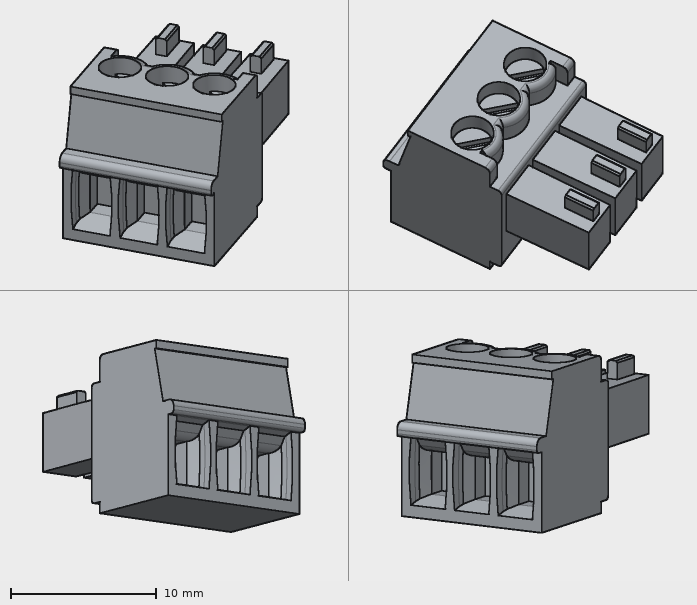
import cadquery as cq
import math


width = 11.2
height = 11.1
step_y = 7.95
collar_y = 8.89
collar_bottom = 0.8
collar_top = 9.21
collar_fillet = 0.3
ear_fillet = 0.4

brow_y = 1.37
brow_bottom = 10.51
slope_top_y = 1.56
slope_bottom_y = 0.6
lip_reach = 0.63
lip_bottom = 5.67
lip_top = 6.68
lip_top_fillet = 0.5
lip_bottom_fillet = 0.24

pitch = 3.5
pole_xs = [-pitch, 0, pitch]

plug_end_y = 16.1 - lip_reach
plug_bottom = 4.19
plug_top = 8.3
plug_base_width = 2.96
plug_end_width = 2.82

key_width = 0.8
key_end_gap = 0.25
key_length = 2.27
key_top = 9.61
key_chamfer = 0.13

screw_y = 5.26
well_radius = 1.47
well_depth = 1.24
screw_gap = 0.05
slot_width = 0.53
slot_depth = 0.48
slot_angle = -45

recess_half_width = 4.67
recess_y = 6.6
web_fillet = 0.5
scallop_radius = 2.11
scallop_fillet = 0.5
scallop_half_width = 4.43
scallop_end_slope = 0.28

entry_bottom = 0.85
throat_y = 1.9
throat_end_y = 3.22
throat_bottom = 1.35
throat_top = 4.41
throat_width = 1.7
throat_bulge = 0.02
throat_end_fillet = 0.25
roof_break_y = 0.71
roof_break_z = 5.44
roof_arc_y = 1.06
roof_arc_z = 4.88
funnel_sections = [
    (0, 1.37, 1.51),
    (0.6, 1.35, 1.43),
    (roof_arc_y, 1.27, 1.37),
    (throat_y, throat_width / 2, throat_width / 2 + throat_bulge),
]


def box(x0, x1, y0, y1, z0, z1):
    return cq.Workplane("XY").box(x1 - x0, y1 - y0, z1 - z0, centered=False).translate((x0, y0, z0))


def make_housing():
    profile = [
        (0, 0),
        (step_y, 0),
        (step_y, collar_bottom),
        (collar_y, collar_bottom),
        (collar_y, collar_top),
        (step_y, collar_top),
        (step_y, height),
        (brow_y, height),
        (brow_y, brow_bottom),
        (slope_top_y, brow_bottom),
        (slope_bottom_y, lip_top),
        (-lip_reach, lip_top),
        (-lip_reach, lip_bottom),
        (0, lip_bottom),
    ]
    housing = cq.Workplane("YZ").polyline(profile).close().extrude(width / 2, both=True)

    def round_edge(solid, y, z, radius):
        return solid.edges(cq.NearestToPointSelector((0, y, z))).fillet(radius)

    housing = round_edge(housing, collar_y, collar_bottom, collar_fillet)
    housing = round_edge(housing, collar_y, collar_top, collar_fillet)
    housing = round_edge(housing, step_y, height, ear_fillet)
    housing = round_edge(housing, -lip_reach, lip_top, lip_top_fillet)
    return round_edge(housing, -lip_reach, lip_bottom, lip_bottom_fillet)


def make_recess():
    """Space between the two ears, with the top of its wall rounded between the poles."""
    recess = box(-recess_half_width, recess_half_width, recess_y, step_y, collar_top, height)
    arc_drop = web_fillet * (1 - math.sqrt(0.5))
    rounding = (
        cq.Workplane("YZ")
        .moveTo(recess_y - web_fillet, height)
        .lineTo(recess_y, height)
        .lineTo(recess_y, height - web_fillet)
        .threePointArc((recess_y - arc_drop, height - arc_drop), (recess_y - web_fillet, height))
        .close()
        .extrude(pitch, both=True)
    )
    return recess.union(rounding)


def make_scallops():
    """Round-edged walls around the rear of the screw wells."""
    scallops = cq.Workplane("XY")
    for x in pole_xs:
        plane = cq.Workplane("XY", origin=(x, screw_y, collar_top))
        disc = plane.circle(scallop_radius).extrude(height - collar_top)
        scallops = scallops.union(disc.faces(">Z").edges().fillet(scallop_fillet))

    front_y = recess_y - web_fillet
    front_half = scallop_half_width - web_fillet * scallop_end_slope
    rear_half = scallop_half_width + (step_y - recess_y) * scallop_end_slope
    limits = (
        cq.Workplane("XY", origin=(0, 0, collar_top))
        .polyline([(-front_half, front_y), (front_half, front_y), (rear_half, step_y), (-rear_half, step_y)])
        .close()
        .extrude(height - collar_top)
    )
    return scallops.intersect(limits)


def make_screw_well(x):
    """Well above the screw, the gap around the screw head and its slot."""
    floor = height - well_depth
    head_radius = well_radius - screw_gap
    plane = cq.Workplane("XY", origin=(x, screw_y, floor))
    well = plane.circle(well_radius).extrude(well_depth)
    gap = plane.circle(well_radius).circle(head_radius).extrude(-slot_depth)
    head = plane.circle(head_radius).extrude(-slot_depth)
    slot = (
        plane.transformed(rotate=(0, 0, slot_angle))
        .rect(2 * well_radius, slot_width)
        .extrude(-slot_depth)
        .intersect(head)
    )
    return well.union(gap).union(slot)


def make_plug(x):
    base = plug_base_width / 2
    end = plug_end_width / 2
    plug = (
        cq.Workplane("XY", origin=(x, 0, plug_bottom))
        .polyline([(-base, step_y), (base, step_y), (end, plug_end_y), (-end, plug_end_y)])
        .close()
        .extrude(plug_top - plug_bottom)
    )
    key_y = plug_end_y - key_end_gap
    key = box(x - key_width / 2, x + key_width / 2, key_y - key_length, key_y, plug_top, key_top)
    return plug.union(key.faces(">Z").edges("|Y").chamfer(key_chamfer))


def funnel_outline(x, y, corner, middle):
    """Full-height outline of the funnel, with bulging sides."""
    mid_z = (entry_bottom + lip_bottom) / 2
    return (
        cq.Workplane("XZ", origin=(x, y, 0))
        .moveTo(-corner, entry_bottom)
        .lineTo(corner, entry_bottom)
        .threePointArc((middle, mid_z), (corner, lip_bottom))
        .lineTo(-corner, lip_bottom)
        .threePointArc((-middle, mid_z), (-corner, entry_bottom))
        .close()
    )


def make_wire_entry(x):
    """Funnel shaped by its bulging sides and by its sloping floor and roof, ending in a throat."""
    wires = [funnel_outline(x, *section).val() for section in funnel_sections]
    funnel = cq.Workplane(cq.Solid.makeLoft(wires, True))
    throat = box(
        x - throat_width / 2, x + throat_width / 2, throat_y, throat_end_y, throat_bottom, throat_top
    )

    side_profile = (
        cq.Workplane("YZ", origin=(x, 0, 0))
        .moveTo(0, lip_bottom)
        .lineTo(roof_break_y, roof_break_z)
        .lineTo(roof_arc_y, roof_arc_z)
        .tangentArcPoint((throat_y, throat_top), relative=False)
        .lineTo(throat_end_y, throat_top)
        .lineTo(throat_end_y, throat_bottom)
        .lineTo(throat_y, throat_bottom)
        .lineTo(0, entry_bottom)
        .close()
        .extrude(pitch / 2, both=True)
        .edges(cq.NearestToPointSelector((x, throat_end_y, throat_top)))
        .fillet(throat_end_fillet)
    )
    return funnel.union(throat).intersect(side_profile)


result = make_housing().cut(make_recess()).union(make_scallops())
for pole_x in pole_xs:
    result = result.union(make_plug(pole_x))
    result = result.cut(make_screw_well(pole_x)).cut(make_wire_entry(pole_x))